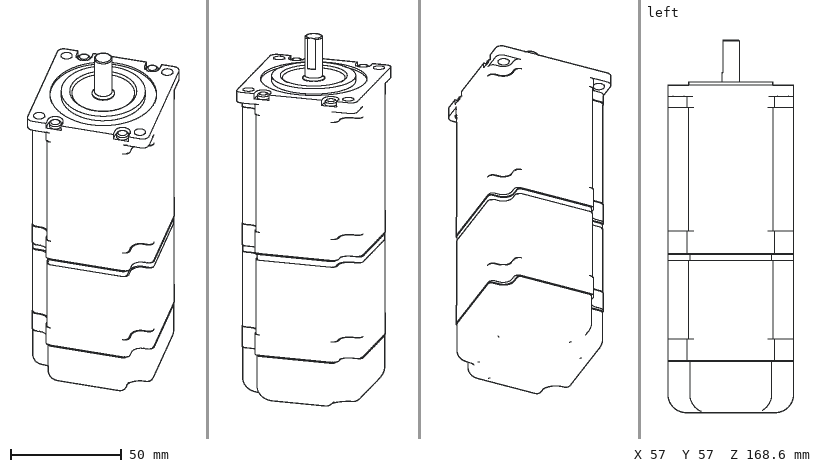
import cadquery as cq
import math

TOTAL_HEIGHT = 168.6
FRAME = 57.0
HALF_FRAME = FRAME / 2

COVER_TOP = 23.6
COVER_BOTTOM_RADIUS = 8.5
BRAKE_STEP = 33.4
BRAKE_TOP = 69.0

BRACKET_TOP = 72.2
MOTOR_LOW_STEP = 82.3
MOTOR_HIGH_STEP = 138.0
SHAFT_LENGTH = 20.4
FLANGE_TOP = TOTAL_HEIGHT - SHAFT_LENGTH
FLANGE_THICKNESS = 5.0
FLANGE_BOTTOM = FLANGE_TOP - FLANGE_THICKNESS

GROOVE_HEIGHT = 0.5
GROOVE_DEPTH = 0.2

BODY_CHANNEL_CENTRE = 24.1
BODY_EDGE_RADIUS = 2.4
WIDE_CHANNEL = (BODY_CHANNEL_CENTRE, 4.9, BODY_EDGE_RADIUS)
SLIM_CHANNEL = (BODY_CHANNEL_CENTRE, 4.4, BODY_EDGE_RADIUS)
COVER_CHANNEL = (23.6, 5.0, 1.9)
CHANNEL_MOUTH = COVER_CHANNEL[1] + COVER_BOTTOM_RADIUS

FLANGE_CORNER_RADIUS = 3.0
HOLE_PITCH = 47.2
HOLE_DIAMETER = 5.0
RING_RADIUS = 24.1
RING_DEPTH = 1.0
PILOT_RADIUS = 19.0
PILOT_HEIGHT = 1.5
PILOT_TOP = FLANGE_TOP + PILOT_HEIGHT
DISH_RADIUS = 15.2
DISH_FLOOR_RADIUS = 14.2
DISH_DEPTH = 1.0
DISH_FLOOR = PILOT_TOP - DISH_DEPTH

BORE_RADIUS = 5.0
BORE_DEPTH = 0.3

SHAFT_RADIUS = 4.0
SHAFT_CHAMFER = 0.5
FLAT_DEPTH = 0.5
FLAT_LENGTH = 14.7

SCREW_POSITIONS = [(-16.0, 25.6), (16.0, 25.6), (-15.5, -25.6), (16.0, -25.6)]
NOTCH_RADIUS = 3.5
NOTCH_DEPTH = 2.5
HEAD_RADIUS = 2.7
HEAD_HEIGHT = 2.0
HEAD_CHAMFER = 0.7


def square_block(bottom, top):
    """Plain square block of the frame size."""
    return cq.Workplane(origin=(0, 0, bottom)).rect(FRAME, FRAME).extrude(top - bottom)


def turned(x, y, quarter):
    """Point turned about the origin by a number of quarter turns."""
    for _ in range(quarter):
        x, y = -y, x
    return x, y


def channelled_bar(bottom, top, channel, inset=0):
    """Square bar with a channel along each corner; inset shrinks its outline all round."""
    centre, arc_radius, edge_radius = channel
    half_width = HALF_FRAME - inset
    arc_radius += inset
    edge_radius -= inset
    wall = centre - arc_radius
    edge_centre = wall - edge_radius
    edge_inset = half_width - edge_radius
    edge_middle = edge_radius * math.sqrt(0.5)
    arc_middle = centre - arc_radius * math.sqrt(0.5)

    outline = cq.Workplane(origin=(0, 0, bottom)).moveTo(half_width, -edge_centre)
    for quarter in range(4):
        outline = (
            outline.lineTo(*turned(half_width, edge_centre, quarter))
            .threePointArc(
                turned(edge_inset + edge_middle, edge_centre + edge_middle, quarter),
                turned(edge_inset, wall, quarter),
            )
            .lineTo(*turned(centre, wall, quarter))
            .threePointArc(
                turned(arc_middle, arc_middle, quarter),
                turned(wall, centre, quarter),
            )
            .lineTo(*turned(wall, edge_inset, quarter))
            .threePointArc(
                turned(edge_centre + edge_middle, edge_inset + edge_middle, quarter),
                turned(edge_centre, half_width, quarter),
            )
        )
    return outline.close().extrude(top - bottom)


def flare_section():
    """Half section of a cover channel, widening at the bottom by a quarter round."""
    _, arc_radius, _ = COVER_CHANNEL
    quarter_middle = COVER_BOTTOM_RADIUS * (1 - math.sqrt(0.5))
    return (
        cq.Workplane("XZ")
        .lineTo(CHANNEL_MOUTH, 0)
        .threePointArc((arc_radius + quarter_middle, quarter_middle), (arc_radius, COVER_BOTTOM_RADIUS))
        .lineTo(arc_radius, COVER_TOP)
        .lineTo(0, COVER_TOP)
        .close()
    )


def flared_channel():
    """Cutter for one channel of the cover: a round end that opens along +X and +Y."""
    centre, _, _ = COVER_CHANNEL
    round_end = flare_section().revolve(360, (0, 0, 0), (0, 1, 0))
    half_arm = flare_section().extrude(-CHANNEL_MOUTH)
    y_arm = half_arm.union(half_arm.mirror("YZ"))
    x_arm = y_arm.rotate((0, 0, 0), (0, 0, 1), -90)
    return round_end.union(y_arm).union(x_arm).translate((centre, centre, 0))


def groove_neck(top):
    """Slightly shrunk layer that leaves a fine groove below the given height."""
    return channelled_bar(top - GROOVE_HEIGHT, top, COVER_CHANNEL, GROOVE_DEPTH)


def make_cover():
    """Rear cover: channelled block whose whole bottom outline is rounded."""
    height = COVER_TOP - GROOVE_HEIGHT
    cover = square_block(0, height).faces("<Z").edges().fillet(COVER_BOTTOM_RADIUS)
    cutter = flared_channel()
    for quarter in range(4):
        cover = cover.cut(cutter.rotate((0, 0, 0), (0, 0, 1), 90 * quarter))
    _, _, edge_radius = COVER_CHANNEL
    return cover.edges("|Z and (>X or <X or >Y or <Y)").fillet(edge_radius)


def make_brake():
    """Brake section with its rear cover."""
    lower = channelled_bar(COVER_TOP, BRAKE_STEP, SLIM_CHANNEL)
    upper = channelled_bar(BRAKE_STEP, BRAKE_TOP, WIDE_CHANNEL)
    return make_cover().union(groove_neck(COVER_TOP)).union(lower).union(upper)


def make_flange():
    """Mounting flange with holes and a pilot that stands in a ring recess."""
    flange = square_block(FLANGE_BOTTOM, FLANGE_TOP).edges("|Z").fillet(FLANGE_CORNER_RADIUS)
    holes = (
        cq.Workplane(origin=(0, 0, FLANGE_BOTTOM))
        .rect(HOLE_PITCH, HOLE_PITCH, forConstruction=True)
        .vertices()
        .circle(HOLE_DIAMETER / 2)
        .extrude(FLANGE_THICKNESS)
    )
    recess_floor = FLANGE_TOP - RING_DEPTH
    recess = cq.Workplane(origin=(0, 0, recess_floor)).circle(RING_RADIUS).extrude(RING_DEPTH)
    pilot = cq.Workplane(origin=(0, 0, recess_floor)).circle(PILOT_RADIUS).extrude(PILOT_TOP - recess_floor)
    dish = cq.Solid.makeCone(DISH_FLOOR_RADIUS, DISH_RADIUS, DISH_DEPTH, cq.Vector(0, 0, DISH_FLOOR))
    bore = cq.Workplane(origin=(0, 0, DISH_FLOOR - BORE_DEPTH)).circle(BORE_RADIUS).extrude(BORE_DEPTH)
    return flange.cut(holes).cut(recess).union(pilot).cut(cq.Workplane(dish)).cut(bore)


def make_shaft():
    """Output shaft above the pilot, with a chamfered tip and a flat."""
    shaft = cq.Workplane(origin=(0, 0, PILOT_TOP)).circle(SHAFT_RADIUS).extrude(TOTAL_HEIGHT - PILOT_TOP)
    flat = cq.Workplane(origin=(0, SHAFT_RADIUS, TOTAL_HEIGHT)).box(
        2 * SHAFT_RADIUS, 2 * FLAT_DEPTH, 2 * FLAT_LENGTH
    )
    return shaft.faces(">Z").chamfer(SHAFT_CHAMFER).cut(flat)


def make_notch(x, y):
    """Round-ended notch that opens through the nearer Y side of the flange."""
    side = math.copysign(1, y)
    floor = FLANGE_TOP - NOTCH_DEPTH
    round_end = cq.Workplane(origin=(x, y, floor)).circle(NOTCH_RADIUS).extrude(NOTCH_DEPTH)
    opening = (
        cq.Workplane(origin=(x, y + side * NOTCH_RADIUS / 2, floor))
        .rect(2 * NOTCH_RADIUS, NOTCH_RADIUS)
        .extrude(NOTCH_DEPTH)
    )
    return round_end.union(opening)


def make_screw_head(x, y):
    """Chamfered screw head that stands on the notch floor."""
    head = cq.Workplane(origin=(x, y, FLANGE_TOP - NOTCH_DEPTH)).circle(HEAD_RADIUS).extrude(HEAD_HEIGHT)
    return head.faces(">Z").chamfer(HEAD_CHAMFER)


def make_motor():
    """Motor section with its rear bracket, flange and screw heads."""
    bracket = channelled_bar(BRAKE_TOP, BRACKET_TOP - GROOVE_HEIGHT, COVER_CHANNEL)
    lower = channelled_bar(BRACKET_TOP, MOTOR_LOW_STEP, SLIM_CHANNEL)
    middle = channelled_bar(MOTOR_LOW_STEP, MOTOR_HIGH_STEP, WIDE_CHANNEL)
    upper = channelled_bar(MOTOR_HIGH_STEP, FLANGE_BOTTOM, SLIM_CHANNEL)
    motor = bracket.union(groove_neck(BRACKET_TOP)).union(lower).union(middle).union(upper)
    motor = motor.union(make_flange())
    for x, y in SCREW_POSITIONS:
        motor = motor.cut(make_notch(x, y)).union(make_screw_head(x, y))
    return motor


brake = make_brake()
motor = make_motor()
shaft = make_shaft()

result = cq.Compound.makeCompound([brake.val(), motor.val(), shaft.val()])